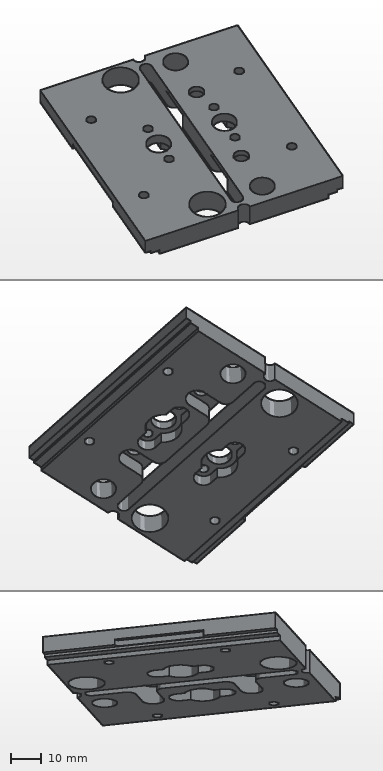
import cadquery as cq
import math

length = 80.0
width = 72.0
thickness = 8.0
outer_step_inset = 2.0
outer_step_height = 2.6
inner_step_inset = 5.2
inner_step_height = 1.6

slot_width = 4.2
slot_length = 73.0

mount_hole_diameter = 3.2
mount_hole_x = 20.0
mount_hole_y = 27.0
center_hole_diameter = 8.2
center_hole_y = 12.0
screw_hole_diameter = 3.2
screw_hole_x = 8.0
guide_row_y = 10.0
small_guide_diameter = 8.2
large_guide_diameter = 12.0
guide_x = 33.0
pin_hole_diameter = 5.1
pin_hole_x = 17.0

pin_pocket_width = 7.4
pin_pocket_end_y = center_hole_y
pin_pocket_mouth_radius = 2.9
pin_pocket_height = 6.0
center_pocket_diameter = 12.0
center_pocket_height = 4.5
screw_channel_width = 6.6

recess_length = 30.4
recess_depth = 1.5
recess_top = center_pocket_height
recess_corner_radius = 1.0


def mirrored(x, y):
    """Two points placed symmetrically about X = 0."""
    return [(-x, y), (x, y)]


def cylinders(points, diameter, height=thickness):
    """Round cutters rising from the underside."""
    return cq.Workplane("XY").pushPoints(points).circle(diameter / 2).extrude(height)


def layer(inset, bottom, top):
    """Full-length slab between two heights, inset at both Y edges."""
    slab = cq.Workplane("XY").workplane(offset=bottom)
    return slab.rect(length, width - 2 * inset).extrude(top - bottom)


def center_pocket(y):
    """Round pocket joined to a channel running over its two screw holes."""
    channel = (
        cq.Workplane("XY")
        .center(0, y)
        .slot2D(2 * screw_hole_x + screw_channel_width, screw_channel_width)
        .extrude(center_pocket_height)
    )
    return channel.union(cylinders([(0, y)], center_pocket_diameter, center_pocket_height))


def pin_pocket(x):
    """Round-ended pocket over a pin hole, flaring in two arcs into the central slot."""
    half_width = pin_pocket_width / 2
    radius = pin_pocket_mouth_radius
    slot_wall = slot_width / 2
    mouth = slot_wall + radius
    bend = radius * (1 - math.sqrt(0.5))
    return (
        cq.Workplane("XY")
        .moveTo(x - half_width - radius, 0)
        .lineTo(x - half_width - radius, slot_wall)
        .threePointArc((x - half_width - bend, slot_wall + bend), (x - half_width, mouth))
        .lineTo(x - half_width, pin_pocket_end_y)
        .threePointArc((x, pin_pocket_end_y + half_width), (x + half_width, pin_pocket_end_y))
        .lineTo(x + half_width, mouth)
        .threePointArc((x + half_width + bend, slot_wall + bend), (x + half_width + radius, slot_wall))
        .lineTo(x + half_width + radius, 0)
        .close()
        .extrude(pin_pocket_height)
    )


def front_recess():
    """Recess above the outer step, with rounded inner corners."""
    return (
        cq.Workplane("XY")
        .workplane(offset=outer_step_height)
        .center(0, -width / 2)
        .rect(recess_length, 2 * recess_depth)
        .extrude(recess_top - outer_step_height)
        .edges("|Z")
        .fillet(recess_corner_radius)
    )


result = layer(0, outer_step_height, thickness)
result = result.union(layer(outer_step_inset, inner_step_height, outer_step_height))
result = result.union(layer(inner_step_inset, 0, inner_step_height))

result = result.cut(cq.Workplane("XY").slot2D(slot_length, slot_width).extrude(thickness))
result = result.cut(cylinders(mirrored(length / 2, 0), slot_width))

for side in (-1, 1):
    result = result.cut(cylinders(mirrored(mount_hole_x, side * mount_hole_y), mount_hole_diameter))
    result = result.cut(cylinders([(0, side * center_hole_y)], center_hole_diameter))
    result = result.cut(cylinders(mirrored(screw_hole_x, side * center_hole_y), screw_hole_diameter))
    result = result.cut(center_pocket(side * center_hole_y))

result = result.cut(cylinders(mirrored(guide_x, guide_row_y), small_guide_diameter))
result = result.cut(cylinders(mirrored(guide_x, -guide_row_y), large_guide_diameter))
result = result.cut(cylinders(mirrored(pin_hole_x, guide_row_y), pin_hole_diameter))
for x in (-pin_hole_x, pin_hole_x):
    result = result.cut(pin_pocket(x))

result = result.cut(front_recess())